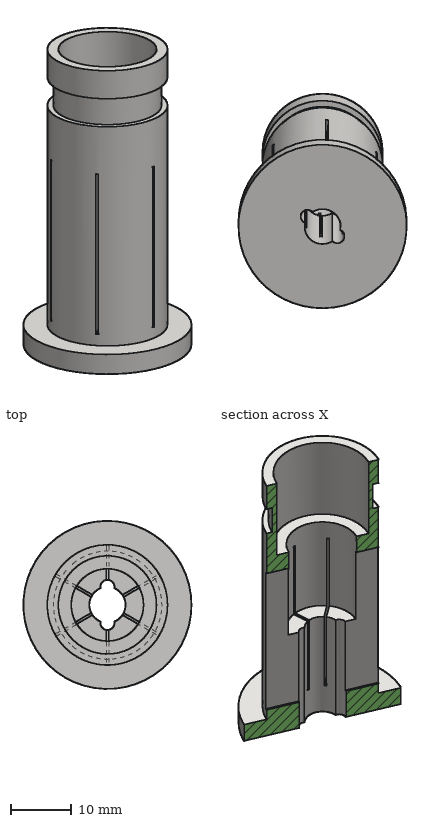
import cadquery as cq

total_height = 52.5
flange_diameter = 28.0
flange_thickness = 3.5
body_diameter = 20.0
neck_diameter = 18.0
head_height = 5.0
neck_height = head_height

upper_bore_diameter = 16.35
upper_bore_floor = 37.5
lower_bore_diameter = 12.0
lower_bore_floor = 19.95
through_hole_diameter = 6.0

notch_diameter = 2.3
notch_offset = through_hole_diameter / 2

slot_count = 6
slot_width = 0.4
slot_bottom = 5.5
slot_top = 34.0

head_bottom = total_height - head_height
neck_bottom = head_bottom - neck_height


def cylinder(diameter, bottom, top):
    """Upright cylinder on the Z axis between two heights."""
    return cq.Workplane("XY").workplane(offset=bottom).circle(diameter / 2).extrude(top - bottom)


def outer_shape():
    """Flanged sleeve with a grooved neck under its head."""
    return (
        cylinder(flange_diameter, 0, flange_thickness)
        .union(cylinder(body_diameter, flange_thickness, neck_bottom))
        .union(cylinder(neck_diameter, neck_bottom, head_bottom))
        .union(cylinder(body_diameter, head_bottom, total_height))
    )


def stepped_bore():
    """Wide upper bore, narrower lower bore and the notched through hole."""
    notches = (
        cq.Workplane("XY")
        .pushPoints([(0, notch_offset), (0, -notch_offset)])
        .circle(notch_diameter / 2)
        .extrude(lower_bore_floor)
    )
    return (
        cylinder(upper_bore_diameter, upper_bore_floor, total_height)
        .union(cylinder(lower_bore_diameter, lower_bore_floor, upper_bore_floor))
        .union(cylinder(through_hole_diameter, 0, lower_bore_floor))
        .union(notches)
    )


def wall_slots():
    """Radial slots evenly spaced around the axis, two of them on the Y axis."""
    slots = cq.Workplane("XY")
    for index in range(slot_count):
        slot = (
            cq.Workplane("XY")
            .box(slot_width, body_diameter, slot_top - slot_bottom, centered=(True, False, False))
            .translate((0, 0, slot_bottom))
            .rotate((0, 0, 0), (0, 0, 1), index * 360 / slot_count)
        )
        slots = slots.union(slot)
    return slots


result = outer_shape().cut(stepped_bore()).cut(wall_slots())